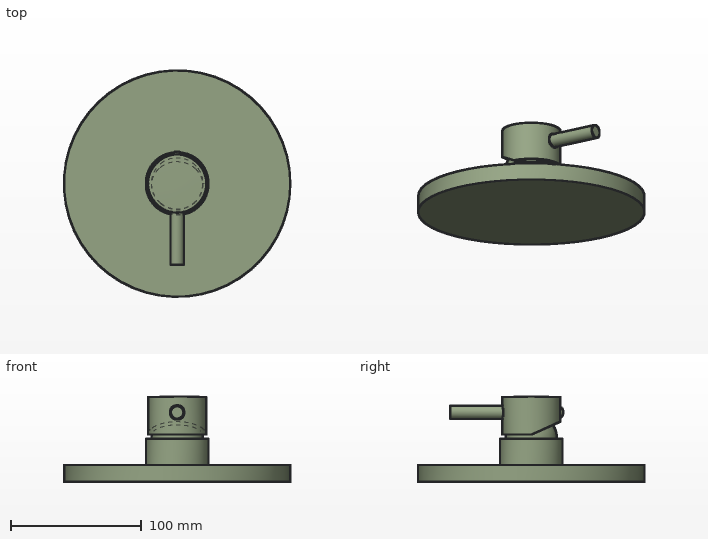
import cadquery as cq
import math

plate_radius = 86.5
plate_height = 13.0
plate_edge_fillet = 0.5

collar_radius = 24.0
collar_top = 33.0
collar_edge_chamfer = 0.5

ball_radius = 19.75
ball_center_z = collar_top

handle_radius = 22.25
handle_bottom = 36.0
handle_rim_z = 64.75
handle_edge_fillet = 0.4
crown_top = 65.19
relief_angle = 24.0

lever_radius = 5.1
lever_reach = 62.0
lever_z = 53.0
lever_edge_chamfer = 0.3
lever_seat_radius = 5.5
lever_seat_y = 21.0

plug_radius = 4.3
plug_reach = 24.6
plug_rim_y = 22.0


def crown_middle(rim_radius, rim_height, apex_height):
    """Point halfway across a spherical crown, as (radius, height)."""
    rise = apex_height - rim_height
    sphere_radius = (rim_radius**2 + rise**2) / (2 * rise)
    middle_radius = rim_radius / 2
    drop = sphere_radius - math.sqrt(sphere_radius**2 - middle_radius**2)
    return middle_radius, apex_height - drop


def make_plate():
    plate = cq.Workplane("XY").circle(plate_radius).extrude(plate_height)
    return plate.faces(">Z").edges().fillet(plate_edge_fillet)


def make_collar():
    collar = cq.Workplane("XY").circle(collar_radius).extrude(collar_top)
    return collar.faces(">Z").edges().chamfer(collar_edge_chamfer)


def make_ball():
    return cq.Workplane("XY").sphere(ball_radius).translate((0, 0, ball_center_z))


def make_handle():
    body = (
        cq.Workplane("XZ")
        .moveTo(0, handle_bottom)
        .lineTo(handle_radius, handle_bottom)
        .lineTo(handle_radius, handle_rim_z)
        .threePointArc(crown_middle(handle_radius, handle_rim_z, crown_top), (0, crown_top))
        .close()
        .revolve(360, (0, 0, 0), (0, 1, 0))
        .faces("%CYLINDER")
        .edges("%CIRCLE")
        .edges(">Z")
        .fillet(handle_edge_fillet)
    )
    relief_length = 2 * handle_radius
    relief_rise = relief_length * math.tan(math.radians(relief_angle))
    relief = (
        cq.Workplane("YZ")
        .moveTo(0, handle_bottom)
        .lineTo(relief_length, handle_bottom)
        .lineTo(relief_length, handle_bottom + relief_rise)
        .close()
        .extrude(handle_radius, both=True)
    )
    seat = (
        cq.Workplane("XZ", origin=(0, -lever_seat_y, lever_z))
        .circle(lever_seat_radius)
        .extrude(handle_radius - lever_seat_y)
    )
    return body.cut(relief).cut(seat)


def make_lever():
    lever = cq.Workplane("XZ", origin=(0, 0, lever_z)).circle(lever_radius).extrude(lever_reach)
    return lever.faces("<Y").edges().chamfer(lever_edge_chamfer)


def make_plug():
    return (
        cq.Workplane("XY")
        .lineTo(plug_radius, 0)
        .lineTo(plug_radius, plug_rim_y)
        .threePointArc(crown_middle(plug_radius, plug_rim_y, plug_reach), (0, plug_reach))
        .close()
        .revolve(360, (0, 0, 0), (0, 1, 0))
        .translate((0, 0, lever_z))
    )


result = (
    make_plate()
    .union(make_collar())
    .union(make_ball())
    .union(make_handle())
    .union(make_lever())
    .union(make_plug())
)